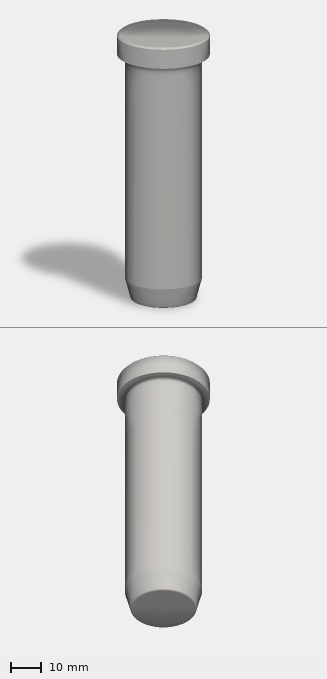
import cadquery as cq
import math

total_length = 90.0
head_diameter = 30.0
head_radius = head_diameter / 2
head_height = 7.0
head_chamfer = 0.5
shank_radius = 12.5

groove_height = 1.0

lead_in_height = 7.0
lead_in_angle = 15.0
tip_rounding = 0.5

collar_length = 15.0

head_bottom = total_length - head_height
groove_bottom = head_bottom - groove_height
joint_height = head_bottom - collar_length
groove_radius = groove_height / 2
tip_radius = shank_radius - lead_in_height * math.tan(math.radians(lead_in_angle))


def make_head():
    """Flanged head with a relief groove and a short cylindrical collar."""
    collar = cq.Workplane("XY").workplane(offset=joint_height).circle(shank_radius).extrude(
        groove_bottom - joint_height
    )
    flange = cq.Workplane("XY").workplane(offset=head_bottom).circle(head_radius).extrude(head_height)
    flange = flange.faces(">Z").edges().chamfer(head_chamfer)

    neck = (
        cq.Workplane("XZ")
        .moveTo(0, groove_bottom)
        .lineTo(shank_radius, groove_bottom)
        .threePointArc(
            (shank_radius - groove_radius, groove_bottom + groove_radius),
            (shank_radius, head_bottom),
        )
        .lineTo(0, head_bottom)
        .close()
        .revolve(360, (0, 0, 0), (0, 1, 0))
    )
    return collar.union(neck).union(flange)


def make_pin():
    """Plain cylinder with a conical lead-in and a rounded tip edge."""
    pin = (
        cq.Workplane("XZ")
        .lineTo(tip_radius, 0)
        .lineTo(shank_radius, lead_in_height)
        .lineTo(shank_radius, joint_height)
        .lineTo(0, joint_height)
        .close()
        .revolve(360, (0, 0, 0), (0, 1, 0))
    )
    return pin.faces("<Z").edges().fillet(tip_rounding)


head = make_head()
pin = make_pin()

result = cq.Compound.makeCompound([head.val(), pin.val()])